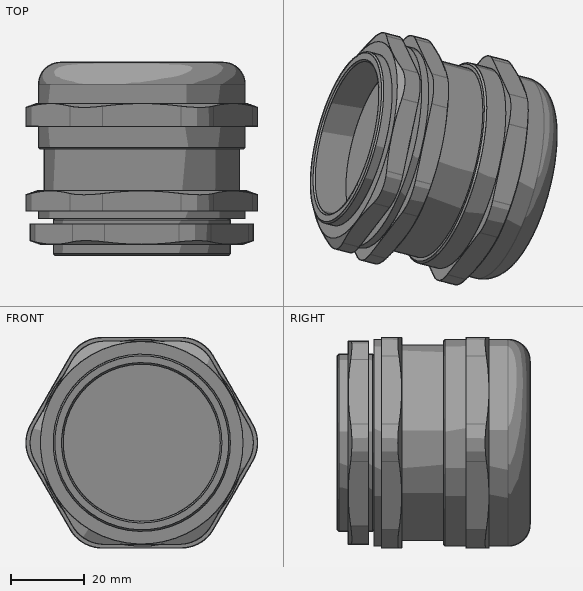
import cadquery as cq
import math


nut_start = 2.95
nut_end = 8.45
thread_end = 9.9
body_hex_start = 12.0
body_hex_end = 17.5
cap_start = 28.7
cap_hex_start = 34.9
cap_hex_end = 41.15
dome_start = 46.2
length = 52.25

thread_diameter = 48.0
bore_diameter = 42.5
bore_depth = 9.55
body_diameter = 53.0
cap_diameter = 56.0
rim_chamfer = 0.45
thread_end_chamfer = 0.4
cap_chamfer = 0.5
dome_radius = length - dome_start

body_flats = 57.0
nut_flats = 55.0
hex_corner_radius = 10.05
body_bevel_diameter = 56.6
nut_bevel_diameter = 54.8
bevel_angle = 20.0


def cylinder(diameter, start, end):
    """Solid cylinder about Y between two stations."""
    plane = cq.Workplane("XZ", origin=(0, start, 0))
    return plane.circle(diameter / 2).extrude(start - end)


def bevelled_hex(flats, bevel_diameter, flat_end, bevel_end):
    """Hexagon with rounded corners and a conical bevel towards bevel_end."""
    corner_diameter = flats / math.cos(math.radians(30))
    prism = (
        cq.Workplane("XZ", origin=(0, flat_end, 0))
        .polygon(6, corner_diameter)
        .extrude(flat_end - bevel_end)
        .edges("|Y")
        .fillet(hex_corner_radius)
    )
    outer = corner_diameter / 2
    inner = bevel_diameter / 2
    drop = (outer - inner) * math.tan(math.radians(bevel_angle))
    shoulder = bevel_end - math.copysign(drop, bevel_end - flat_end)
    envelope = (
        cq.Workplane("XY")
        .polyline([(0, flat_end), (outer, flat_end), (outer, shoulder), (inner, bevel_end), (0, bevel_end)])
        .close()
        .revolve(360, (0, 0, 0), (0, 1, 0))
    )
    return prism.intersect(envelope)


sleeve = (
    cylinder(thread_diameter, 0, thread_end)
    .faces("<Y").chamfer(rim_chamfer)
    .faces(">Y").chamfer(thread_end_chamfer)
)
flange = cylinder(cap_diameter, thread_end, body_hex_start)
body = cylinder(body_diameter, body_hex_start, cap_start)

cap = (
    cylinder(cap_diameter, cap_start, length)
    .faces("<Y").chamfer(cap_chamfer)
    .faces(">Y").edges().fillet(dome_radius)
)

nut = bevelled_hex(nut_flats, nut_bevel_diameter, nut_end, nut_start)
body_hex = bevelled_hex(body_flats, body_bevel_diameter, body_hex_start, body_hex_end)
cap_hex = bevelled_hex(body_flats, body_bevel_diameter, cap_hex_start, cap_hex_end)

result = sleeve
for piece in (flange, body, cap, nut, body_hex, cap_hex):
    result = result.union(piece)

result = result.cut(cylinder(bore_diameter, 0, bore_depth))
mouth_edge = cq.selectors.RadiusNthSelector(0)
result = result.faces("<Y").edges(mouth_edge).chamfer(rim_chamfer)